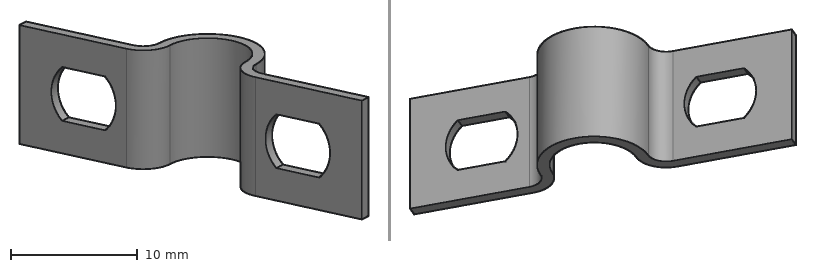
import cadquery as cq
import math

length = 32.0
strap_width = 10.0
thickness = 1.0
arch_outer_radius = 4.5
bend_outer_radius = 2.5
hole_diameter = 6.0
hole_flat_height = 4.5
hole_spacing = 20.0

arch_inner_radius = arch_outer_radius - thickness
bend_inner_radius = bend_outer_radius - thickness
bend_x = arch_outer_radius + bend_inner_radius
flange_inner_y = -bend_inner_radius
flange_outer_y = -bend_outer_radius
half_length = length / 2
diagonal = math.sqrt(0.5)


def bend_point(side, radius):
    """Middle of a bend arc of the given radius; side is -1 (left) or 1 (right)."""
    return (side * (bend_x - radius * diagonal), -radius * diagonal)


def make_strap():
    """Bent sheet: flange, bend, half-round arch, bend, flange."""
    profile = (
        cq.Workplane("XY")
        .moveTo(-half_length, flange_outer_y)
        .lineTo(-bend_x, flange_outer_y)
        .threePointArc(bend_point(-1, bend_outer_radius), (-arch_inner_radius, 0))
        .threePointArc((0, arch_inner_radius), (arch_inner_radius, 0))
        .threePointArc(bend_point(1, bend_outer_radius), (bend_x, flange_outer_y))
        .lineTo(half_length, flange_outer_y)
        .lineTo(half_length, flange_inner_y)
        .lineTo(bend_x, flange_inner_y)
        .threePointArc(bend_point(1, bend_inner_radius), (arch_outer_radius, 0))
        .threePointArc((0, arch_outer_radius), (-arch_outer_radius, 0))
        .threePointArc(bend_point(-1, bend_inner_radius), (-bend_x, flange_inner_y))
        .lineTo(-half_length, flange_inner_y)
        .close()
    )
    return profile.extrude(strap_width / 2, both=True)


def make_hole_cutters():
    """Round cutters through both flanges, flattened at top and bottom."""
    cut_depth = 4 * bend_outer_radius
    centers = [(-hole_spacing / 2, 0), (hole_spacing / 2, 0)]
    round_cutters = (
        cq.Workplane("XZ")
        .pushPoints(centers)
        .circle(hole_diameter / 2)
        .extrude(cut_depth / 2, both=True)
    )
    flat_limits = cq.Workplane("XY").box(length, cut_depth, hole_flat_height)
    return round_cutters.intersect(flat_limits)


result = make_strap().cut(make_hole_cutters())